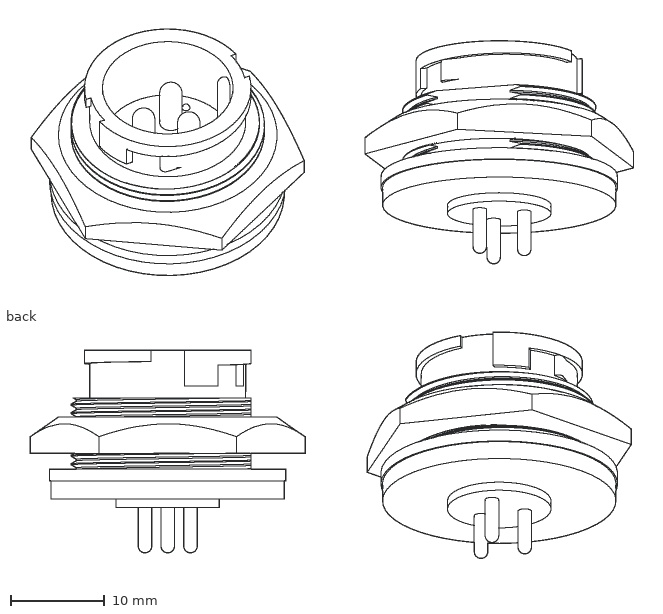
import cadquery as cq
import math


millimetres_per_inch = 25.4

threads_per_inch = 28
pitch = millimetres_per_inch / threads_per_inch
thread_major_radius = millimetres_per_inch * 13 / 16 / 2
thread_depth = 0.6 * pitch
thread_root_radius = thread_major_radius - thread_depth
flank_angle = 30
flank_slope = math.tan(math.radians(flank_angle))
crest_width = pitch / 8
groove_mouth_width = pitch - crest_width
groove_floor_width = groove_mouth_width - 2 * thread_depth * flank_slope
groove_overshoot = 0.06
groove_outer_radius = thread_major_radius + groove_overshoot
groove_outer_width = groove_mouth_width + 2 * groove_overshoot * flank_slope
crest_height_at_plus_x = 0.53
thread_height = 7.6
thread_flat_distance = 8.9
runout_turns = 1

flange_radius = 12.62
flange_rim_thickness = 1.25
flange_body_radius = 12.45
flange_thickness = 3.19
disc_radius = 5.52
disc_thickness = 0.92
disc_bottom = -(flange_thickness + disc_thickness)

barrel_radius = 8.33
barrel_top = 12.69
bore_radius = 6.96
bore_floor = 4.66
rim_radius = 8.88
lobe_depth = 3.8
entry_slot_half_width = 1.81
lobe_outer_x = 5.34
stop_outer_x = 8.10
stop_outer_y = 4.07
stop_round_radius = 0.56
rim_depth_mid = 1.43
ramp_slope = 0.025

contact_count = 3
contact_circle_radius = 2.8
first_contact_angle = 30
contact_radius = 1.2
contact_top = 10.26
tail_radius = 0.73
tail_bottom = -8.93
key_radius = 0.775
key_offset_y = 6.6
key_top = 11.43
dot_radius = 0.42
dot_x = -3.82
dot_y = 3.75

nut_across_flats = millimetres_per_inch
nut_corner_radius = nut_across_flats / math.sqrt(3)
nut_bottom = 1.68
nut_top = 5.57
nut_face_radius = 11.66
nut_bevel_angle = 35


def cylinder(radius, bottom, top):
    """Cylinder about the Z axis between two heights."""
    return cq.Workplane("XY").workplane(offset=bottom).circle(radius).extrude(top - bottom)


def block(x_range, y_range, z_range):
    """Box between the given limits on each axis."""
    sizes = [high - low for low, high in (x_range, y_range, z_range)]
    corner = (x_range[0], y_range[0], z_range[0])
    return cq.Workplane("XY").box(*sizes, centered=False).translate(corner)


def dome(radius, height, direction):
    """Hemisphere on the Z axis, flat at the given height and bulging up (1) or down (-1)."""
    ball = cq.Workplane("XY").sphere(radius)
    half_space = block((-radius, radius), (-radius, radius), sorted((0, direction * radius)))
    return ball.intersect(half_space).translate((0, 0, height))


def domed_pin(radius, base, tip):
    """Pin on the Z axis from a flat base to a hemispherical tip, pointing either up or down."""
    direction = math.copysign(1, tip - base)
    shoulder = tip - direction * radius
    return cylinder(radius, base, shoulder).union(dome(radius, shoulder, direction))


def make_thread():
    """Solid threaded cylinder: a helical V groove cut into the major diameter."""
    start = crest_height_at_plus_x + pitch / 2 - (runout_turns + 1) * pitch
    length = thread_height - start + runout_turns * pitch
    helix = cq.Wire.makeHelix(pitch, length, thread_root_radius).translate(cq.Vector(0, 0, start))
    groove = (
        cq.Workplane("XZ")
        .polyline([
            (thread_root_radius, start - groove_floor_width / 2),
            (groove_outer_radius, start - groove_outer_width / 2),
            (groove_outer_radius, start + groove_outer_width / 2),
            (thread_root_radius, start + groove_floor_width / 2),
        ])
        .close()
        .sweep(cq.Workplane(obj=helix), isFrenet=True)
    )
    return cylinder(thread_major_radius, 0, thread_height).cut(groove)


def make_rim():
    """Bayonet rim: two entry slots, each with a lobe, a round-nosed stop and a sloping ramp."""
    lobe_bottom = barrel_top - lobe_depth
    rim = cylinder(rim_radius, lobe_bottom, barrel_top)

    slots = block(
        (-entry_slot_half_width, entry_slot_half_width),
        (-rim_radius, rim_radius),
        (lobe_bottom, barrel_top),
    )
    rim = rim.cut(slots)

    ramp_mid = barrel_top - rim_depth_mid
    ramp_rise = ramp_slope * rim_radius
    undercut = (
        cq.Workplane("YZ")
        .workplane(offset=-rim_radius)
        .polyline([
            (-rim_radius, lobe_bottom),
            (rim_radius, lobe_bottom),
            (rim_radius, ramp_mid - ramp_rise),
            (-rim_radius, ramp_mid + ramp_rise),
        ])
        .close()
        .extrude(rim_radius - entry_slot_half_width)
    )
    lobe = block((-lobe_outer_x, 0), (0, rim_radius), (lobe_bottom, barrel_top))
    stop_center_x = -(stop_outer_x - stop_round_radius)
    stop_center_y = stop_outer_y - stop_round_radius
    stop_face = block((-stop_outer_x, 0), (0, stop_center_y), (lobe_bottom, barrel_top))
    stop_nose = cylinder(stop_round_radius, lobe_bottom, barrel_top)
    stop_nose = stop_nose.translate((stop_center_x, stop_center_y, 0))
    undercut = undercut.cut(lobe).cut(stop_face).cut(stop_nose)
    for angle in (0, 180):
        rim = rim.cut(undercut.rotate((0, 0, 0), (0, 0, 1), angle))
    return rim


def make_housing(thread):
    """Flange, flatted thread, barrel and contacts as one solid."""
    side_offcut = block(
        (-thread_major_radius, -thread_flat_distance),
        (-thread_major_radius, thread_major_radius),
        (0, thread_height),
    )
    housing = (
        thread.cut(side_offcut)
        .union(cylinder(flange_radius, -flange_rim_thickness, 0))
        .union(cylinder(flange_body_radius, -flange_thickness, -flange_rim_thickness))
        .union(cylinder(disc_radius, disc_bottom, -flange_thickness))
        .union(make_rim())
        .union(cylinder(barrel_radius, thread_height, barrel_top))
        .cut(cylinder(bore_radius, bore_floor, barrel_top))
    )

    contact = domed_pin(contact_radius, bore_floor, contact_top)
    tail = domed_pin(tail_radius, disc_bottom, tail_bottom)
    for index in range(contact_count):
        angle = math.radians(first_contact_angle + index * 360 / contact_count)
        place = (contact_circle_radius * math.cos(angle), contact_circle_radius * math.sin(angle), 0)
        housing = housing.union(contact.translate(place)).union(tail.translate(place))

    key_post = domed_pin(key_radius, bore_floor, key_top).translate((0, key_offset_y, 0))
    index_dot = dome(dot_radius, bore_floor, 1).translate((dot_x, dot_y, 0))
    return housing.union(key_post).union(index_dot)


def make_nut(thread):
    """Hexagonal nut with a conical top bevel and a thread that mates with the housing."""
    height = nut_top - nut_bottom
    bevel_drop = (nut_corner_radius - nut_face_radius) * math.tan(math.radians(nut_bevel_angle))
    hexagon = (
        cq.Workplane("XY")
        .workplane(offset=nut_bottom)
        .polygon(6, 2 * nut_corner_radius)
        .extrude(height)
    )
    bevelled_blank = (
        cylinder(nut_corner_radius, nut_bottom, nut_top)
        .faces(">Z")
        .chamfer(bevel_drop, nut_corner_radius - nut_face_radius)
    )
    return hexagon.intersect(bevelled_blank).cut(thread)


thread = make_thread()
housing = make_housing(thread)
nut = make_nut(thread)

result = cq.Compound.makeCompound([housing.solids().val(), nut.solids().val()])